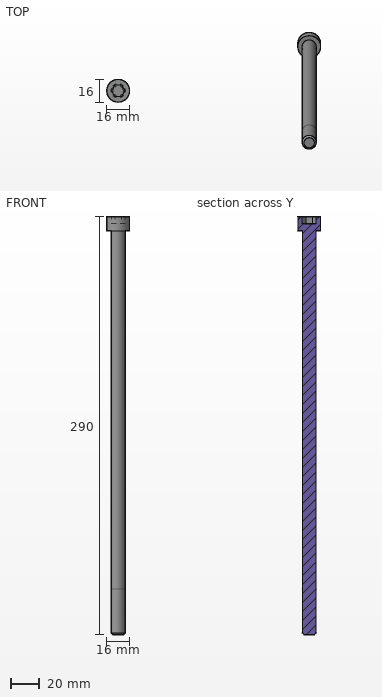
import cadquery as cq
import math

total_length = 290.0
head_diameter = 16.0
head_height = 10.0
shank_diameter = 10.0

thread_length = 32.0
tip_chamfer = 1.33

socket_across_flats = 8.0
socket_depth = 5.0

shank_length = total_length - head_height


def make_shank():
    """Shank from the tip at Z = 0 up to the underside of the head."""
    thread = cq.Workplane("XY").circle(shank_diameter / 2).extrude(thread_length)
    thread = thread.faces("<Z").chamfer(tip_chamfer)
    plain = (
        cq.Workplane("XY", origin=(0, 0, thread_length))
        .circle(shank_diameter / 2)
        .extrude(shank_length - thread_length)
    )
    return thread.union(plain, clean=False)


def make_head():
    return (
        cq.Workplane("XY", origin=(0, 0, shank_length))
        .circle(head_diameter / 2)
        .extrude(head_height)
    )


def make_socket():
    across_corners = socket_across_flats / math.cos(math.pi / 6)
    return (
        cq.Workplane("XY", origin=(0, 0, total_length))
        .polygon(6, across_corners)
        .extrude(-socket_depth)
    )


result = make_shank().union(make_head(), clean=False).cut(make_socket(), clean=False)